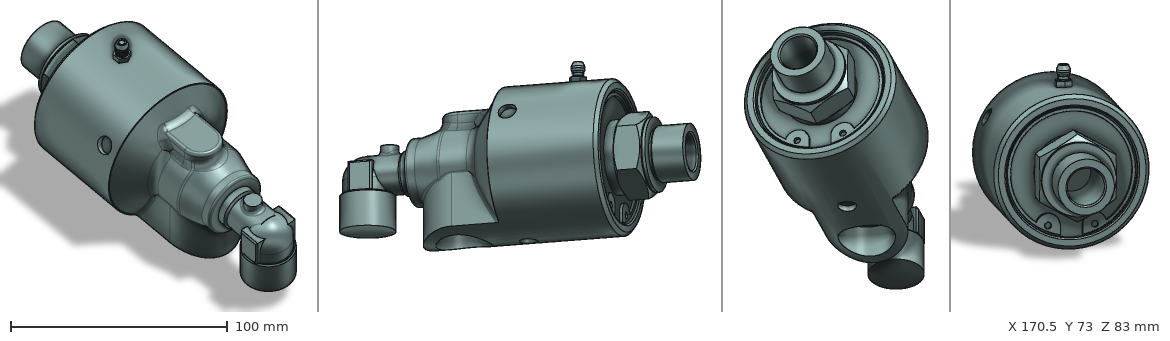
import cadquery as cq
import math


thread_d = 26.44
thread_end_x = 15.7
relief_d = 24.0
thread_chamfer = 0.6
collar_x = 17.0
collar_d = 34.9
collar_chamfer = 0.5
hex_start_x = 19.0
hex_end_x = 32.4
hex_flats = 36.0
hex_chamfer_angle = 30.0
shoulder_d = 35.0
bore_d = 17.5
bore_mouth_d = 19.0

body_d = 73.0
body_start_x = 34.0
body_end_x = 87.5
body_chamfer = 1.8
cone_start_d = 71.8
neck_d = 39.6
neck_start_x = 100.2
neck_end_x = 116.9
neck_blend_radius = 6.0
taper_blend_radius = 4.5
cone_angle = math.atan((cone_start_d - neck_d) / 2 / (neck_start_x - body_end_x))
cone_overlap = 10.0
nose_d = 32.0
nose_start_x = 129.6
nose_end_x = 134.7
nose_edge_radius = 1.2

recess_d = 62.05
recess_mouth_d = 63.5
recess_depth = 3.0
ring_outer_d = 60.2
ring_inner_d = 57.2
ring_thickness = 1.5
lug_d = 11.45
lug_hole_d = 3.12
lug_y = 11.0
lug_z = -25.0

side_hole_d = 8.6
side_hole_x = 79.2
side_hole_depth = 3.0
side_hole_angles = (30.0, 150.0, 270.0)

port_x = 110.5
pad_half_width = 10.1
pad_top_z = 25.5
pad_edge_radius = 1.8
pad_root_radius = 5.0
port_half_width = 19.0
port_root_radius = 2.0
port_hole_d = 26.44
port_hole_depth = 16.0

nipple_x = 55.3
nipple_sink = 1.0
nipple_flats = 7.3
nipple_hex_top_z = 39.2
nipple_collar_d = 6.0
nipple_collar_top_z = 39.8
nipple_neck_d = 4.8
nipple_neck_top_z = 41.3
nipple_band_d = 5.7
nipple_band_top_z = 42.1
nipple_head_d = 6.6
nipple_head_z = 43.3
nipple_head_top_z = 44.3
nipple_tip_d = 4.6
nipple_tip_z = 46.49
nipple_dimple_d = 3.0
nipple_dimple_depth = 0.5

elbow_collar_d = 21.0
elbow_collar_end_x = 138.5
elbow_taper_end_x = 139.6
tube_d = 19.0
socket_d = 26.0
total_length = 170.53
socket_x = total_length - socket_d / 2
socket_top_z = -8.6
socket_bottom_z = -26.0
socket_chamfer = 0.7
ball_d = 23.4
ball_z = -2.4
wrench_pad_width = 11.5
wrench_pad_half_span = 12.2
wrench_pad_top_z = 5.2
wrench_pad_chamfer = 0.8
plug_x = 146.9
plug_d = 8.6
plug_top_z = 13.5
plug_root_radius = 2.0


def x_cylinder(diameter, x_start, x_end):
    """Cylinder on the main axis."""
    return cq.Workplane("YZ", origin=(x_start, 0, 0)).circle(diameter / 2).extrude(x_end - x_start)


def z_cylinder(diameter, x, z_start, z_end):
    """Upright cylinder at the given X, in the plane Y = 0."""
    return cq.Workplane("XY", origin=(x, 0, z_start)).circle(diameter / 2).extrude(z_end - z_start)


def revolve_about_x(profile):
    """Solid of revolution about X from (x, radius) points that start and end on the axis."""
    return cq.Workplane("XY").polyline(profile).close().revolve(360, (0, 0, 0), (1, 0, 0))


def revolve_about_z(profile, x):
    """Solid of revolution about an upright axis from (radius, z) points."""
    return cq.Workplane("XZ", origin=(x, 0, 0)).polyline(profile).close().revolve(360, (0, 0, 0), (0, 1, 0))


def u_block(x_start, half_width, z_start, z_end):
    """Upright block running from x_start to a half round end centred on the port axis."""
    return (
        cq.Workplane("XY", origin=(0, 0, z_start))
        .moveTo(x_start, -half_width)
        .lineTo(port_x, -half_width)
        .threePointArc((port_x + half_width, 0), (port_x, half_width))
        .lineTo(x_start, half_width)
        .close()
        .extrude(z_end - z_start)
    )


def make_hexagon():
    """Hexagon with two corners on the Z axis and both ends turned down to the collar diameter."""
    corner_r = hex_flats / math.sqrt(3)
    chamfer_length = (corner_r - collar_d / 2) * math.tan(math.radians(hex_chamfer_angle))
    prism = (
        cq.Workplane("YZ", origin=(hex_start_x, 0, 0))
        .polygon(6, 2 * corner_r)
        .extrude(hex_end_x - hex_start_x)
        .rotate((0, 0, 0), (1, 0, 0), 90)
    )
    envelope = revolve_about_x([
        (hex_start_x, 0),
        (hex_start_x, collar_d / 2),
        (hex_start_x + chamfer_length, corner_r),
        (hex_end_x - chamfer_length, corner_r),
        (hex_end_x, collar_d / 2),
        (hex_end_x, 0),
    ])
    return prism.intersect(envelope)


def make_shaft():
    inside_x = body_start_x + recess_depth
    thread = x_cylinder(thread_d, 0, thread_end_x).faces(">X").chamfer(thread_chamfer)
    relief = x_cylinder(relief_d, thread_end_x, collar_x)
    collar = x_cylinder(collar_d, collar_x, hex_start_x).faces(">X").chamfer(collar_chamfer)
    shoulder = x_cylinder(shoulder_d, hex_end_x, inside_x)
    return thread.union(relief).union(collar).union(make_hexagon()).union(shoulder)


def cut_shaft_bore(part):
    mouth_chamfer = (bore_mouth_d - bore_d) / 2
    bore = revolve_about_x([
        (0, 0),
        (0, bore_mouth_d / 2),
        (mouth_chamfer, bore_d / 2),
        (body_start_x, bore_d / 2),
        (body_start_x, 0),
    ])
    return part.cut(bore)


def at_circle(x):
    """Selector for the circular edges lying in the plane at the given X."""
    margin = 0.01
    return cq.selectors.BoxSelector(
        (x - margin, -body_d, -body_d), (x + margin, body_d, body_d), boundingbox=True
    )


def join_with_root_fillet(base, addition, radius):
    """Union of two solids, with the edges where their surfaces meet rounded by the given radius."""
    tolerance = 1e-4
    joined = base.union(addition)
    shells = [base.val().Shells()[0], addition.val().Shells()[0]]
    seams = []
    for edge in joined.edges().vals():
        middle = cq.Vertex.makeVertex(*edge.positionAt(0.5).toTuple())
        if all(shell.distance(middle) < tolerance for shell in shells):
            seams.append(edge)
    return cq.Workplane(obj=joined.val().fillet(radius, seams))


def make_barrel():
    return x_cylinder(body_d, body_start_x, body_end_x).faces("<X").chamfer(body_chamfer)


def make_tapered_core():
    """Cone, neck and nose; the cone runs on into the barrel so that its root fillets can too."""
    inner_cone_r = cone_start_d / 2 + math.tan(cone_angle) * cone_overlap
    core = revolve_about_x([
        (body_end_x - cone_overlap, 0),
        (body_end_x - cone_overlap, inner_cone_r),
        (neck_start_x, neck_d / 2),
        (neck_end_x, neck_d / 2),
        (nose_start_x, nose_d / 2),
        (nose_end_x, nose_d / 2),
        (nose_end_x, 0),
    ])
    core = core.edges(at_circle(neck_end_x)).fillet(taper_blend_radius)
    return core.faces(">X").edges().fillet(nose_edge_radius)


def make_neck_blend():
    """Disc whose hollow rim is the arc tangent to the cone and to the neck."""
    center_x = neck_start_x + neck_blend_radius * math.tan(cone_angle / 2)
    center_r = neck_d / 2 + neck_blend_radius

    def rim_point(angle):
        return (
            center_x - neck_blend_radius * math.sin(angle),
            center_r - neck_blend_radius * math.cos(angle),
        )

    cone_end = rim_point(cone_angle)
    neck_end = rim_point(0)
    return (
        cq.Workplane("XY")
        .moveTo(cone_end[0], 0)
        .lineTo(*cone_end)
        .threePointArc(rim_point(cone_angle / 2), neck_end)
        .lineTo(neck_end[0], 0)
        .close()
        .revolve(360, (0, 0, 0), (1, 0, 0))
    )


def make_top_pad():
    pad = u_block(body_end_x - cone_overlap, pad_half_width, 0, pad_top_z)
    return pad.faces(">Z").edges("not <X").fillet(pad_edge_radius)


def make_bottom_port():
    """Port block, left longer than the body radius so that the housing envelope can trim it."""
    return u_block(body_end_x - cone_overlap, port_half_width, -body_d, 0)


def make_rear_housing():
    core = make_tapered_core()
    padded = join_with_root_fillet(core, make_top_pad(), pad_root_radius)
    ported = join_with_root_fillet(core, make_bottom_port(), port_root_radius)
    envelope = x_cylinder(body_d, body_end_x, nose_end_x)
    return padded.union(ported).union(make_neck_blend()).intersect(envelope)


def cut_port_hole(body):
    floor_z = -body_d / 2 + port_hole_depth
    return body.cut(z_cylinder(port_hole_d, port_x, -body_d / 2, floor_z))


def cut_side_holes(body):
    floor_r = body_d / 2 - side_hole_depth
    hole = (
        cq.Workplane("XZ", origin=(side_hole_x, floor_r, 0))
        .circle(side_hole_d / 2)
        .extrude(-2 * side_hole_depth)
    )
    for angle in side_hole_angles:
        body = body.cut(hole.rotate((0, 0, 0), (1, 0, 0), angle))
    return body


def cut_recess(body):
    mouth_chamfer = (recess_mouth_d - recess_d) / 2
    recess = revolve_about_x([
        (body_start_x, 0),
        (body_start_x, recess_mouth_d / 2),
        (body_start_x + mouth_chamfer, recess_d / 2),
        (body_start_x + recess_depth, recess_d / 2),
        (body_start_x + recess_depth, 0),
    ])
    return body.cut(recess)


def make_retaining_ring():
    x_start = body_start_x + recess_depth - ring_thickness
    plane = cq.Workplane("YZ", origin=(x_start, 0, 0))
    outer = plane.circle(ring_outer_d / 2).extrude(ring_thickness)
    ring = outer.cut(plane.circle(ring_inner_d / 2).extrude(ring_thickness))
    gap_width = 2 * lug_y - lug_d
    gap = plane.center(0, -ring_outer_d / 2).rect(gap_width, ring_outer_d / 2).extrude(ring_thickness)
    ring = ring.cut(gap)
    lug_tail = ring_outer_d / 2 + lug_z
    for side in (1, -1):
        center = plane.center(side * lug_y, lug_z)
        lug = center.circle(lug_d / 2).extrude(ring_thickness)
        tail = center.center(0, -lug_tail / 2).rect(lug_d, lug_tail).extrude(ring_thickness)
        hole = center.circle(lug_hole_d / 2).extrude(ring_thickness)
        ring = ring.union(lug.union(tail).intersect(outer)).cut(hole)
    return ring


def make_nipple():
    root_z = body_d / 2 - nipple_sink
    hexagon = (
        cq.Workplane("XY", origin=(nipple_x, 0, root_z))
        .polygon(6, 2 * nipple_flats / math.sqrt(3))
        .extrude(nipple_hex_top_z - root_z)
    )
    stem = revolve_about_z([
        (0, root_z),
        (nipple_collar_d / 2, root_z),
        (nipple_collar_d / 2, nipple_collar_top_z),
        (nipple_neck_d / 2, nipple_collar_top_z),
        (nipple_neck_d / 2, nipple_neck_top_z),
        (nipple_band_d / 2, nipple_neck_top_z),
        (nipple_band_d / 2, nipple_band_top_z),
        (nipple_head_d / 2, nipple_head_z),
        (nipple_head_d / 2, nipple_head_top_z),
        (nipple_tip_d / 2, nipple_tip_z),
        (0, nipple_tip_z),
    ], nipple_x)
    dimple = z_cylinder(nipple_dimple_d, nipple_x, nipple_tip_z - nipple_dimple_depth, nipple_tip_z)
    return hexagon.union(stem).cut(dimple)


def make_elbow():
    inlet = revolve_about_x([
        (nose_end_x, 0),
        (nose_end_x, elbow_collar_d / 2),
        (elbow_collar_end_x, elbow_collar_d / 2),
        (elbow_taper_end_x, tube_d / 2),
        (socket_x, tube_d / 2),
        (socket_x, 0),
    ])
    ball = cq.Workplane("XY", origin=(socket_x, 0, ball_z)).sphere(ball_d / 2)
    drop = z_cylinder(ball_d, socket_x, socket_top_z, ball_z)
    socket = z_cylinder(socket_d, socket_x, socket_bottom_z, socket_top_z)
    socket = socket.faces(">Z").chamfer(socket_chamfer)
    wrench_pads = (
        cq.Workplane("XY", origin=(socket_x, 0, socket_top_z))
        .rect(wrench_pad_width, 2 * wrench_pad_half_span)
        .extrude(wrench_pad_top_z - socket_top_z)
        .faces("<Y or >Y")
        .edges("not <Z")
        .chamfer(wrench_pad_chamfer)
    )
    plug = z_cylinder(plug_d, plug_x, 0, plug_top_z)
    inlet = join_with_root_fillet(inlet, plug, plug_root_radius)
    return inlet.union(ball).union(drop).union(socket).union(wrench_pads)


body = make_barrel().union(make_rear_housing())
body = cut_port_hole(body)
body = cut_side_holes(body)
body = cut_recess(body)
body = body.union(make_retaining_ring())
body = body.union(make_shaft())
body = cut_shaft_bore(body)
body = body.union(make_nipple())
result = body.union(make_elbow())